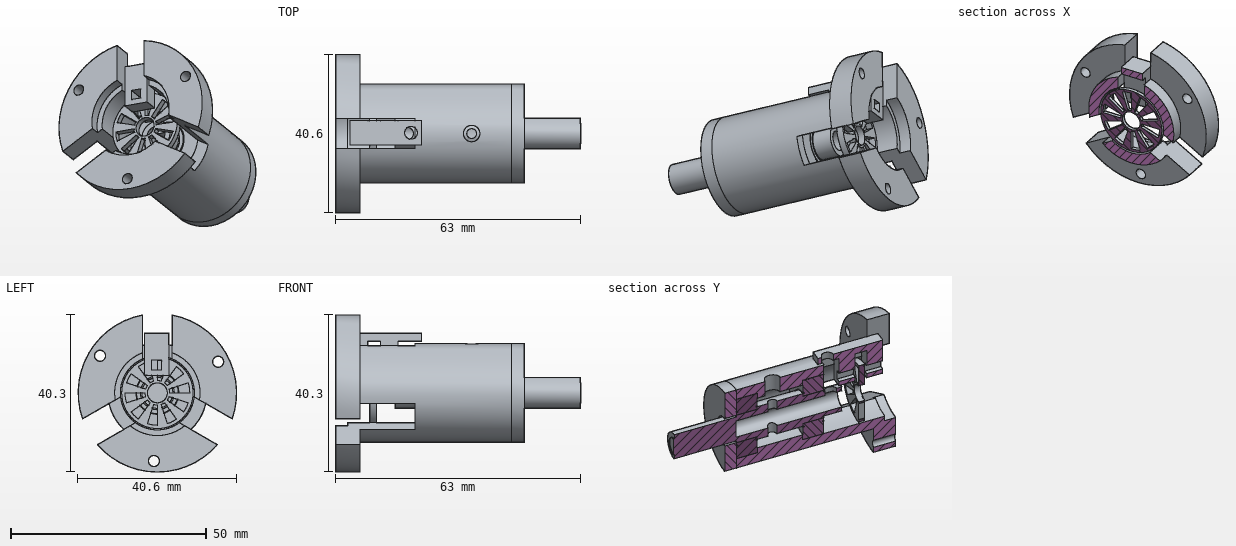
import cadquery as cq
import math


flange_dia = 40.65
flange_thickness = 6.3
barrel_dia = 25.4
barrel_end = 45.1
mouth_dia = 21.9
mouth_depth = 3.1
middle_bore_dia = 15.9
slot_count = 3
slot_width = 7.6
slot_length = 20.3
access_hole_dia = 4.2
access_hole_x = 34.9
mount_hole_dia = 2.8
mount_circle_radius = 17.5
mount_first_angle = 32.9

bearing_outer_dia = 19.0
bearing_width = 6.0
inner_ring_dia = 10.7
gap_outer_dia = 11.0
gap_depth = 0.4
front_bearing_x = slot_length
rear_bearing_x = barrel_end - bearing_width

cap_thickness = 3.3
cap_bore_dia = 8.7

shaft_dia = 7.9
journal_dia = 8.7
shaft_front = 15.25
shaft_rear = 62.75
shaft_bore_dia = 5.1
shaft_bore_end = barrel_end
rear_nub_dia = shaft_bore_dia
overall_length = 62.95
screw_hole_dia = 3.15
screw_hole_x = 18.4
cross_hole_dia = 2.5

disc_dia = 18.3
disc_front = 8.75
disc_thickness = 1.75
disc_bore_dia = shaft_bore_dia
window_count = 10
window_angle = 180.0 / window_count
window_inner_radius = 3.15
window_outer_radius = 8.3

sensor_front = 3.65
sensor_block_end = 16.05
sensor_arm_end = 22.0
sensor_width = 6.3
sensor_centre_y = 0.2
sensor_bottom = 4.5
sensor_top = 15.3
sensor_arm_bottom = 13.2
sensor_gap_start = 8.25
sensor_gap_end = 11.45
sensor_hole_dia = 3.3
sensor_hole_x = 19.3
light_window_size = 2.5
light_window_z = 7.2


def cylinder_x(diameter, start, end):
    """Solid cylinder along the X axis from start to end."""
    return cq.Workplane("YZ").workplane(offset=start).circle(diameter / 2).extrude(end - start)


def drill_z(diameter, x, y, bottom, top):
    """Vertical drill at (x, y) from bottom to top."""
    return cq.Workplane("XY").workplane(offset=bottom).center(x, y).circle(diameter / 2).extrude(top - bottom)


def block(start, end, centre_y, width, bottom, top):
    """Box given by its X range, its centre and width in Y, and its Z range."""
    corner = (start, centre_y - width / 2, bottom)
    return cq.Workplane("XY").box(end - start, width, top - bottom, centered=False).translate(corner)


def turn_about_x(shape, angle):
    """Turn a shape about the X axis, from +Y toward +Z."""
    return shape.rotate((0, 0, 0), (1, 0, 0), angle)


def make_housing():
    body = cylinder_x(flange_dia, 0, flange_thickness)
    body = body.union(cylinder_x(barrel_dia, 0, barrel_end))

    body = body.cut(cylinder_x(mouth_dia, 0, mouth_depth))
    body = body.cut(cylinder_x(bearing_outer_dia, 0, front_bearing_x + bearing_width))
    body = body.cut(cylinder_x(middle_bore_dia, 0, barrel_end))
    body = body.cut(cylinder_x(bearing_outer_dia, rear_bearing_x, barrel_end))

    top_slot = block(0, slot_length, 0, slot_width, 0, flange_dia)
    for i in range(slot_count):
        body = body.cut(turn_about_x(top_slot, i * 360 / slot_count))

    for i in range(slot_count):
        angle = math.radians(mount_first_angle + i * 360 / slot_count)
        y = mount_circle_radius * math.cos(angle)
        z = mount_circle_radius * math.sin(angle)
        body = body.cut(cylinder_x(mount_hole_dia, 0, flange_thickness).translate((0, y, z)))

    return body.cut(drill_z(access_hole_dia, access_hole_x, 0, 0, barrel_dia))


def make_bearing(start):
    end = start + bearing_width
    ring = cylinder_x(bearing_outer_dia, start, end).cut(cylinder_x(journal_dia, start, end))
    for gap_start in (start, end - gap_depth):
        gap_end = gap_start + gap_depth
        gap = cylinder_x(gap_outer_dia, gap_start, gap_end)
        ring = ring.cut(gap.cut(cylinder_x(inner_ring_dia, gap_start, gap_end)))
    return ring


def make_cap():
    cap_end = barrel_end + cap_thickness
    cap = cylinder_x(barrel_dia, barrel_end, cap_end)
    return cap.cut(cylinder_x(cap_bore_dia, barrel_end, cap_end))


def make_shaft():
    shaft = cylinder_x(shaft_dia, shaft_front, shaft_rear)
    shaft = shaft.union(cylinder_x(journal_dia, front_bearing_x, barrel_end))
    shaft = shaft.union(cylinder_x(inner_ring_dia, front_bearing_x + bearing_width, rear_bearing_x))
    shaft = shaft.union(cylinder_x(rear_nub_dia, shaft_rear, overall_length))
    shaft = shaft.cut(cylinder_x(shaft_bore_dia, shaft_front, shaft_bore_end))
    shaft = shaft.cut(drill_z(screw_hole_dia, screw_hole_x, 0, 0, shaft_dia))
    return shaft.cut(drill_z(cross_hole_dia, access_hole_x, 0, -shaft_dia, shaft_dia))


def make_window_cutter():
    """Sector between two radii, from the +Y axis down by the window angle."""
    half_angle = window_angle / 2

    def point(radius, angle):
        turn = math.radians(angle)
        return (radius * math.cos(turn), radius * math.sin(turn))

    outline = (
        cq.Workplane("YZ").workplane(offset=disc_front)
        .moveTo(*point(window_inner_radius, 0))
        .lineTo(*point(window_outer_radius, 0))
        .threePointArc(point(window_outer_radius, -half_angle), point(window_outer_radius, -window_angle))
        .lineTo(*point(window_inner_radius, -window_angle))
        .threePointArc(point(window_inner_radius, -half_angle), point(window_inner_radius, 0))
        .close()
    )
    return outline.extrude(disc_thickness)


def make_disc():
    disc_rear = disc_front + disc_thickness
    disc = cylinder_x(disc_dia, disc_front, disc_rear).cut(cylinder_x(disc_bore_dia, disc_front, disc_rear))
    window = make_window_cutter()
    for i in range(window_count):
        disc = disc.cut(turn_about_x(window, i * 360 / window_count))
    return disc


def make_sensor():
    sensor = block(sensor_front, sensor_block_end, sensor_centre_y, sensor_width, sensor_bottom, sensor_top)
    arm = block(sensor_front, sensor_arm_end, sensor_centre_y, sensor_width, sensor_arm_bottom, sensor_top)
    gap = block(
        sensor_gap_start, sensor_gap_end, sensor_centre_y, sensor_width, sensor_bottom, sensor_arm_bottom
    )
    light_window = block(
        sensor_front, sensor_block_end, sensor_centre_y, light_window_size,
        light_window_z - light_window_size / 2, light_window_z + light_window_size / 2,
    )
    sensor = sensor.union(arm).cut(gap).cut(light_window)
    return sensor.cut(drill_z(sensor_hole_dia, sensor_hole_x, sensor_centre_y, sensor_arm_bottom, sensor_top))


housing = make_housing()
bearings = [make_bearing(start) for start in (front_bearing_x, rear_bearing_x)]
cap = make_cap()
shaft = make_shaft()
disc = make_disc()
sensor = make_sensor()

result = cq.Compound.makeCompound([
    housing.val(),
    *[bearing.val() for bearing in bearings],
    cap.val(),
    shaft.val(),
    disc.val(),
    sensor.val(),
])